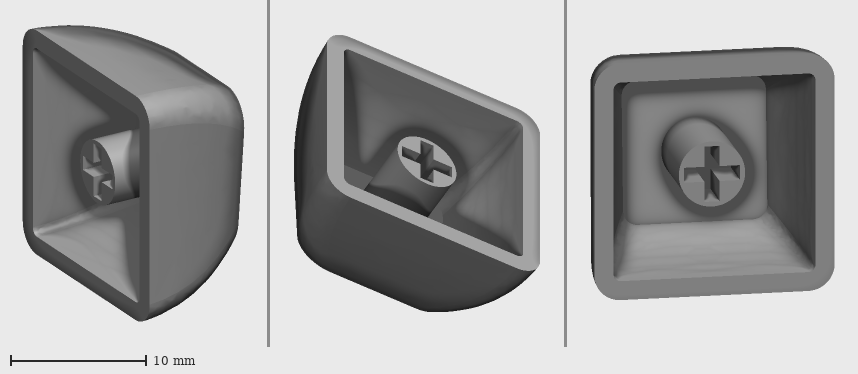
import cadquery as cq
import math

rim_width = 18.1
rim_corner = 2
top_width = 12.65
top_corner = 2.7
overall_depth = 10.01
top_rise = 0.85
top_tilt = -math.degrees(math.asin(top_rise / top_width))
top_depth = overall_depth - top_rise / 2

wall = 1.45
cavity_width = rim_width - 2 * wall
cavity_corner = rim_corner - wall
floor_width = 10.86
floor_corner = 1.09
top_thickness = 1.6
floor_depth = top_depth - top_thickness

stem_diameter = 5.0
stem_recess = 1.0
cross_length = 4.24
cross_width = 1.14
cross_depth = 3.62


def section(depth, tilt, width, corner):
    """Closed rounded square, centred on the Y axis and tilted about the X direction."""
    square = cq.Workplane("XZ", origin=(0, depth, 0)).rect(width, width).val()
    outline = square.fillet2D(corner, square.Vertices())
    axis_start = cq.Vector(0, depth, 0)
    axis_end = cq.Vector(0.18, depth, 0)
    return outline.rotate(axis_start, axis_end, tilt)


def domed_block(depth, tilt, start_width, start_corner, end_width, end_corner):
    """Smooth loft that leaves Y = 0 squarely and narrows as the square of the depth."""
    def at(fraction):
        blend = fraction ** 2
        width = start_width + blend * (end_width - start_width)
        corner = start_corner + blend * (end_corner - start_corner)
        return section(fraction * depth, fraction * tilt, width, corner)

    return cq.Solid.makeLoft([at(0), at(0.5), at(1)])


def make_cap():
    """Hollow tapered shell whose sloping top and cavity floor are parallel."""
    outside = domed_block(top_depth, top_tilt, rim_width, rim_corner, top_width, top_corner)
    return cq.Workplane(outside).cut(cq.Workplane(make_cavity()))


def make_cavity():
    """Space inside the shell, open at the rim."""
    return domed_block(floor_depth, top_tilt, cavity_width, cavity_corner, floor_width, floor_corner)


def make_stem():
    """Round post standing on the sloping cavity floor, with a blind cross socket in its free end."""
    start = cq.Workplane("XZ", origin=(0, stem_recess, 0))
    post = start.circle(stem_diameter / 2).extrude(-overall_depth)
    post = post.intersect(cq.Workplane(make_cavity()))
    level_arm = start.rect(cross_length, cross_width).extrude(-cross_depth)
    upright_arm = start.rect(cross_width, cross_length).extrude(-cross_depth)
    return post.cut(level_arm).cut(upright_arm)


cap = make_cap()
stem = make_stem()

result = cq.Compound.makeCompound([cap.val(), stem.val()])